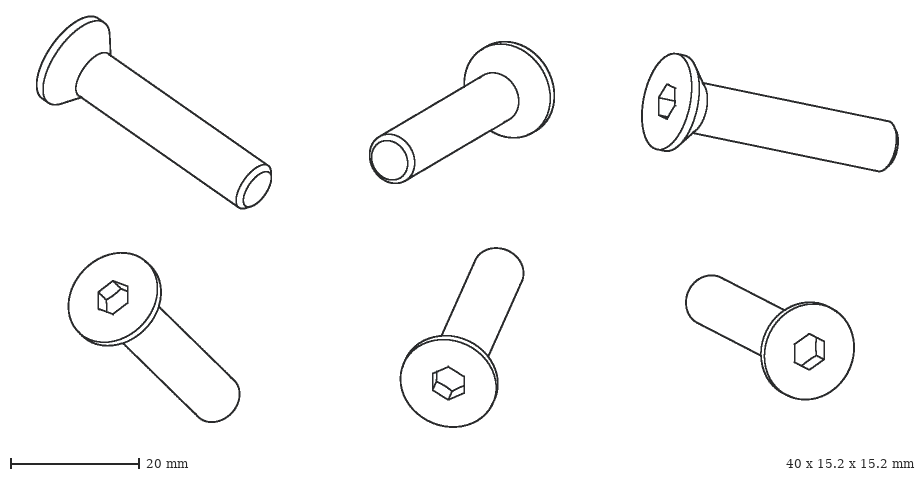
import cadquery as cq
import math

length = 40.0
head_diameter = 15.25
shank_diameter = 8.0
head_height = 5.0
tip_chamfer_length = 0.8
tip_chamfer_depth = 0.8
socket_across_flats = 5.0
socket_depth = 3.0
socket_floor_angle = 120.0

head_radius = head_diameter / 2
shank_radius = shank_diameter / 2
cone_height = head_radius - shank_radius
rim_height = head_height - cone_height
socket_across_corners = socket_across_flats / math.cos(math.radians(30))


def make_body():
    """Revolve the head, shank and chamfered tip about the X axis."""
    return (
        cq.Workplane("XY")
        .moveTo(0, 0)
        .lineTo(0, head_radius)
        .lineTo(rim_height, head_radius)
        .lineTo(head_height, shank_radius)
        .lineTo(length - tip_chamfer_length, shank_radius)
        .lineTo(length, shank_radius - tip_chamfer_depth)
        .lineTo(length, 0)
        .close()
        .revolve(360, (0, 0, 0), (1, 0, 0))
    )


def make_socket():
    """Hexagonal socket with corners on Z, ending in a conical floor."""
    corner_radius = socket_across_corners / 2
    floor_height = corner_radius / math.tan(math.radians(socket_floor_angle / 2))
    hexagon = (
        cq.Workplane("YZ")
        .transformed(rotate=(0, 0, 90))
        .polygon(6, socket_across_corners)
        .extrude(socket_depth + floor_height)
    )
    drill = (
        cq.Workplane("XY")
        .lineTo(0, corner_radius)
        .lineTo(socket_depth, corner_radius)
        .lineTo(socket_depth + floor_height, 0)
        .close()
        .revolve(360, (0, 0, 0), (1, 0, 0))
    )
    return hexagon.intersect(drill)


result = make_body().cut(make_socket())